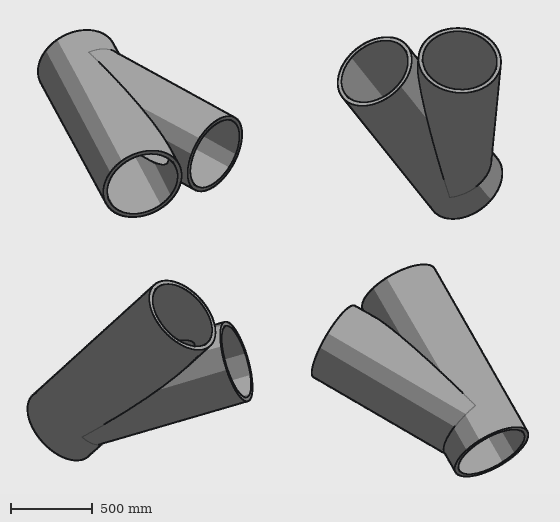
import cadquery as cq
import math

outer_diameter = 508.0
bore_diameter = 455.0

run_length = 1245.0
inlet_length = 218.0

branch_angle = 30.0
branch_length = 1029.0

branch_direction = cq.Vector(
    math.cos(math.radians(branch_angle)),
    math.sin(math.radians(branch_angle)),
    0,
)
run_start = cq.Vector(-inlet_length, 0, 0)
run_direction = cq.Vector(1, 0, 0)
axis_crossing = cq.Vector(0, 0, 0)


def run_cylinder(diameter):
    """Cylinder over the full length of the main run."""
    return cq.Solid.makeCylinder(diameter / 2, run_length, run_start, run_direction)


def branch_cylinder(diameter):
    """Cylinder from the axis crossing, hidden inside the run, to the branch end."""
    return cq.Solid.makeCylinder(diameter / 2, branch_length, axis_crossing, branch_direction)


def wye(diameter):
    """Run and branch of one diameter, joined."""
    return cq.Workplane(run_cylinder(diameter)).union(
        cq.Workplane(branch_cylinder(diameter))
    )


result = wye(outer_diameter).cut(wye(bore_diameter))